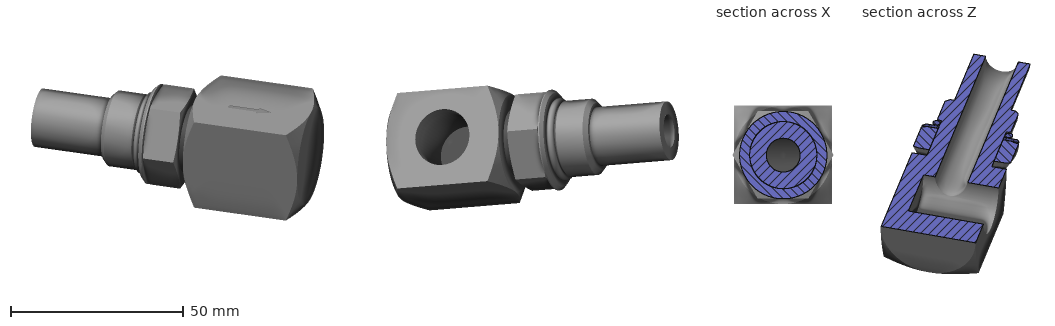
import cadquery as cq
import math


total_length = 82.0
tube_length = 21.5
collar_end = 31.5
nut_length = 9.9
block_length = 34.5

tube_diameter = 17.15
bore_diameter = 9.7
collar_diameter = 22.2
neck_diameter = 19.7
collar_front_chamfer = (collar_diameter - neck_diameter) / 2
collar_back_chamfer = 0.5

block_width = 28.55
block_chamfer_angle = 30.0
block_start = total_length - block_length
block_center = block_start + block_length / 2

port_diameter = 16.65
port_floor_y = -port_diameter / 2

arrow_start = 58.1
arrow_head_start = 66.9
arrow_tip = 71.1
arrow_center_y = -2.6
arrow_shaft_width = 1.5
arrow_head_width = 3.3
arrow_depth = 0.2

ring_gap = 0.2
ring_section = 2.2
ring_start = collar_end + ring_gap
washer_start = ring_start + ring_section
washer_thickness = 1.3
washer_diameter = 29.4
washer_rim = 0.3
washer_chamfer = washer_thickness - washer_rim
nut_start = washer_start + washer_thickness
nut_width = 25.4
nut_chamfer_angle = 12.0


def disc(start, length, diameter):
    """Cylinder along X."""
    return cq.Workplane("YZ", origin=(start, 0, 0)).circle(diameter / 2).extrude(length)


def chamfered_envelope(start, length, face_diameter, corner_diameter, angle):
    """Round envelope whose conical ends trim the corners of a prism along X."""
    face_radius = face_diameter / 2
    corner_radius = corner_diameter / 2
    end = start + length
    depth = (corner_radius - face_radius) * math.tan(math.radians(angle))
    profile = [
        (start, 0),
        (start, face_radius),
        (start + depth, corner_radius),
        (end - depth, corner_radius),
        (end, face_radius),
        (end, 0),
    ]
    return cq.Workplane("XY").polyline(profile).close().revolve(360, (0, 0, 0), (1, 0, 0))


def make_block():
    """Square block with turned corners at both ends."""
    block = cq.Workplane("YZ", origin=(block_start, 0, 0)).rect(block_width, block_width)
    block = block.extrude(block_length)
    corner_diameter = block_width * math.sqrt(2)
    return block.intersect(
        chamfered_envelope(block_start, block_length, block_width, corner_diameter, block_chamfer_angle)
    )


def make_stem():
    """Tube, collar chamfered at both ends, and neck reaching the block."""
    tube = disc(0, tube_length, tube_diameter)
    neck = disc(tube_length, block_start - tube_length, neck_diameter)
    collar = disc(tube_length, collar_end - tube_length, collar_diameter)
    collar = collar.faces("<X").chamfer(collar_front_chamfer)
    collar = collar.faces(">X").chamfer(collar_back_chamfer)
    return tube.union(neck).union(collar)


def make_port():
    """Cutter for the port that the bore runs into."""
    depth = block_width / 2 - port_floor_y
    floor_center = (block_center, port_floor_y, 0)
    return cq.Workplane("XZ", origin=floor_center).circle(port_diameter / 2).extrude(-depth)


def make_arrow():
    """Cutter for the flow arrow, pointing to +X."""
    shaft = arrow_shaft_width / 2
    head = arrow_head_width / 2
    outline = [
        (arrow_start, -shaft),
        (arrow_head_start, -shaft),
        (arrow_head_start, -head),
        (arrow_tip, 0),
        (arrow_head_start, head),
        (arrow_head_start, shaft),
        (arrow_start, shaft),
    ]
    top = (0, arrow_center_y, block_width / 2)
    return cq.Workplane("XY", origin=top).polyline(outline).close().extrude(-arrow_depth)


def make_elbow():
    """Block and stem in one piece, with the bore turning into the port."""
    bore = disc(0, block_center, bore_diameter)
    return make_stem().union(make_block()).cut(bore).cut(make_port()).cut(make_arrow())


def make_o_ring():
    center_x = ring_start + ring_section / 2
    center_radius = (neck_diameter + ring_section) / 2
    return (
        cq.Workplane("XY")
        .center(center_x, center_radius)
        .circle(ring_section / 2)
        .revolve(360, (0, -center_radius, 0), (1, -center_radius, 0))
    )


def make_washer():
    washer = disc(washer_start, washer_thickness, washer_diameter).faces("<X").chamfer(washer_chamfer)
    return washer.cut(disc(washer_start, washer_thickness, neck_diameter))


def make_nut():
    """Hexagon nut with two corners on the Y axis and flats facing +Z and -Z."""
    corner_diameter = nut_width / math.cos(math.pi / 6)
    nut = cq.Workplane("YZ", origin=(nut_start, 0, 0)).polygon(6, corner_diameter).extrude(nut_length)
    nut = nut.intersect(
        chamfered_envelope(nut_start, nut_length, nut_width, corner_diameter, nut_chamfer_angle)
    )
    return nut.cut(disc(nut_start, nut_length, neck_diameter))


elbow = make_elbow()
o_ring = make_o_ring()
washer = make_washer()
nut = make_nut()

result = cq.Compound.makeCompound([elbow.val(), o_ring.val(), washer.val(), nut.val()])